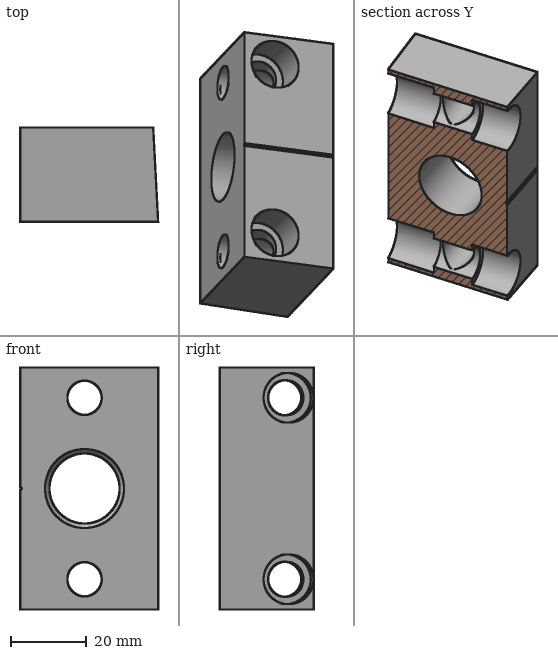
import cadquery as cq
import math

length = 36.5
depth = 24.99
height = 64.01
face_taper = 3.0

bore_x = 17.0
bore_diameter = 18.5
bore_chamfer = 1.2

end_hole_spacing = 48.0
pin_hole_diameter = 9.0

bolt_hole_tilt = face_taper
bolt_hole_inset = 8.6
bolt_hole_diameter = 9.3
counterbore_diameter = 13.2
counterbore_depth = 10.5
narrow_length = 11.5

groove_width = 0.8
groove_depth = groove_width / 2

overrun = 5.0

front_y = -depth / 2
back_y = depth / 2
end_hole_heights = (-end_hole_spacing / 2, end_hole_spacing / 2)


def make_block():
    back_length = length - depth * math.tan(math.radians(face_taper))
    outline = [(0, front_y), (length, front_y), (back_length, back_y), (0, back_y)]
    return cq.Workplane("XY").workplane(offset=-height / 2).polyline(outline).close().extrude(height)


def make_bore():
    """Through bore with a countersunk mouth on the -Y face."""
    radius = bore_diameter / 2
    direction = cq.Vector(0, 1, 0)
    mouth_centre = cq.Vector(bore_x, front_y, 0)
    bore = cq.Solid.makeCylinder(radius, depth, mouth_centre, direction)
    mouth = cq.Solid.makeCone(radius + bore_chamfer, radius, bore_chamfer, mouth_centre, direction)
    return cq.Workplane(bore.fuse(mouth))


def make_pin_hole(z):
    start = cq.Vector(bore_x, front_y, z)
    return cq.Workplane(cq.Solid.makeCylinder(pin_hole_diameter / 2, depth, start, cq.Vector(0, 1, 0)))


def make_bolt_hole(z):
    """Tilted through hole with a coaxial counterbore at each end."""
    tilt = math.radians(bolt_hole_tilt)
    axis = cq.Vector(math.cos(tilt), math.sin(tilt), 0)
    entry = cq.Vector(0, back_y - bolt_hole_inset, z)

    def coaxial_cylinder(diameter, start, end):
        return cq.Solid.makeCylinder(diameter / 2, end - start, entry + axis * start, axis)

    narrow_end = counterbore_depth + narrow_length
    hole = coaxial_cylinder(bolt_hole_diameter, -overrun, length + overrun)
    near_counterbore = coaxial_cylinder(counterbore_diameter, -overrun, counterbore_depth)
    far_counterbore = coaxial_cylinder(counterbore_diameter, narrow_end, length + overrun)
    return cq.Workplane(hole.fuse(near_counterbore, far_counterbore))


def make_groove():
    profile = [(0, -groove_width / 2), (groove_depth, 0), (0, groove_width / 2)]
    return cq.Workplane("XZ").polyline(profile).close().extrude(depth / 2, both=True)


result = make_block().cut(make_bore()).cut(make_groove())
for hole_z in end_hole_heights:
    result = result.cut(make_pin_hole(hole_z)).cut(make_bolt_hole(hole_z))